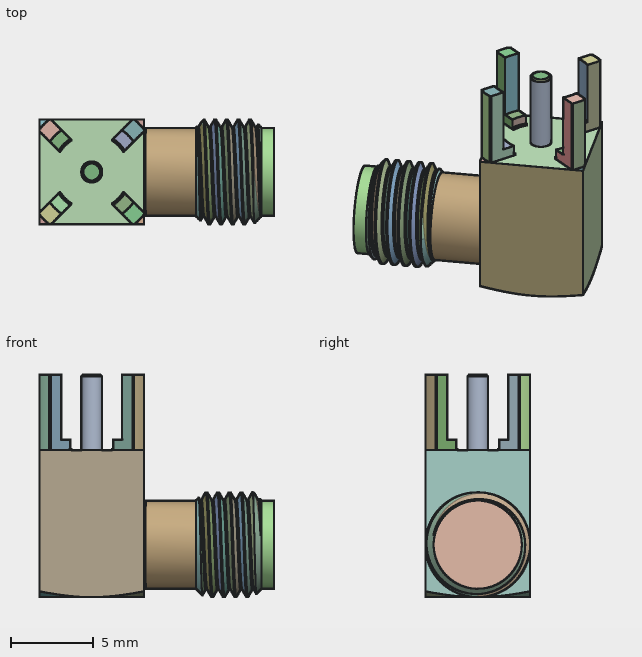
import cadquery as cq
import math


BODY_SIDE = 6.35
HALF_SIDE = BODY_SIDE / 2
BODY_TOP = 5.715
CORNER_CHAMFER_ANGLE = 15

PIN_LENGTH = 4.57
PIN_TOP = BODY_TOP + PIN_LENGTH
CENTRE_PIN_DIAMETER = 1.27
CENTRE_PIN_CHAMFER = 0.12

LEG_COUNT = 4
LEG_WIDTH = 1.0
LEG_OUTER_RADIUS = 4.085
LEG_INNER_RADIUS = 3.13
FOOT_INNER_RADIUS = 2.375
FOOT_HEIGHT = 0.65
TOE_INNER_RADIUS = 2.275
TOE_HEIGHT = 0.09

BARREL_RADIUS = 2.67
BARREL_END = 11.045
NECK_RADIUS = 2.36
NECK_LENGTH = 0.08

THREAD_RADIUS = 3.175
THREAD_PITCH = 25.4 / 36
THREAD_DEPTH = 0.433
THREAD_START = 6.3
THREAD_END = 10.28
CREST_FLAT = THREAD_PITCH / 8
CREST_ABOVE_AXIS = 6.94
FLANK_ANGLE = 30
CUTTER_OVERSHOOT = 0.03


def make_body():
    """Square block whose bottom corners are trimmed by a cone about Z."""
    body_height = HALF_SIDE + BODY_TOP
    block = cq.Workplane("XY").workplane(offset=-HALF_SIDE).rect(BODY_SIDE, BODY_SIDE).extrude(body_height)
    cone_reach = BODY_SIDE
    cone_rise = (cone_reach - HALF_SIDE) * math.tan(math.radians(CORNER_CHAMFER_ANGLE))
    envelope = (
        cq.Workplane("XZ")
        .moveTo(0, -HALF_SIDE)
        .lineTo(HALF_SIDE, -HALF_SIDE)
        .lineTo(cone_reach, -HALF_SIDE + cone_rise)
        .lineTo(cone_reach, BODY_TOP)
        .lineTo(0, BODY_TOP)
        .close()
        .revolve(360, (0, 0, 0), (0, 1, 0))
    )
    return block.intersect(envelope)


def make_centre_pin():
    """Round pin on the Z axis with a chamfered tip."""
    pin = cq.Workplane("XY").workplane(offset=BODY_TOP).circle(CENTRE_PIN_DIAMETER / 2).extrude(PIN_LENGTH)
    return pin.faces(">Z").chamfer(CENTRE_PIN_CHAMFER)


def make_leg(angle):
    """L-shaped ground leg: a revolved profile cut down to a radial strip."""
    ring = (
        cq.Workplane("XZ")
        .moveTo(TOE_INNER_RADIUS, BODY_TOP)
        .lineTo(LEG_OUTER_RADIUS, BODY_TOP)
        .lineTo(LEG_OUTER_RADIUS, PIN_TOP)
        .lineTo(LEG_INNER_RADIUS, PIN_TOP)
        .lineTo(LEG_INNER_RADIUS, BODY_TOP + FOOT_HEIGHT)
        .lineTo(FOOT_INNER_RADIUS, BODY_TOP + FOOT_HEIGHT)
        .lineTo(FOOT_INNER_RADIUS, BODY_TOP + TOE_HEIGHT)
        .lineTo(TOE_INNER_RADIUS, BODY_TOP + TOE_HEIGHT)
        .close()
        .revolve(360, (0, 0, 0), (0, 1, 0))
    )
    strip = cq.Workplane("XY").box(BODY_SIDE, LEG_WIDTH, PIN_TOP, centered=(False, True, False))
    column = cq.Workplane("XY").box(BODY_SIDE, BODY_SIDE, PIN_TOP, centered=(True, True, False))
    leg = ring.intersect(strip.rotate((0, 0, 0), (0, 0, 1), angle))
    return leg.intersect(column)


def make_groove_turn():
    """One right-handed turn of the thread groove about Z, centred on +X at Z = 0."""
    root_radius = THREAD_RADIUS - THREAD_DEPTH
    outer_radius = THREAD_RADIUS + CUTTER_OVERSHOOT
    slope = math.tan(math.radians(FLANK_ANGLE))
    half_mouth = (THREAD_PITCH - CREST_FLAT) / 2
    half_root = half_mouth - THREAD_DEPTH * slope
    half_outer = half_mouth + CUTTER_OVERSHOOT * slope
    section = [
        (root_radius, -half_root),
        (outer_radius, -half_outer),
        (outer_radius, half_outer),
        (root_radius, half_root),
    ]

    helices = []
    for radius, height in section:
        helix = cq.Wire.makeHelix(THREAD_PITCH, THREAD_PITCH, radius)
        helices.append(helix.translate(cq.Vector(0, 0, height)))
    faces = []
    for helix, next_helix in zip(helices, helices[1:] + helices[:1]):
        faces.append(cq.Face.makeRuledSurface(helix, next_helix))
    for end_height in (0, THREAD_PITCH):
        corners = [cq.Vector(radius, 0, height + end_height) for radius, height in section]
        faces.append(cq.Face.makeFromWires(cq.Wire.makePolygon(corners, close=True)))
    return cq.Workplane(obj=cq.Solid.makeSolid(cq.Shell.makeShell(faces)))


def make_thread():
    """Chamfered band with the helical groove cut into it turn by turn."""
    band = cq.Workplane("YZ").workplane(offset=THREAD_START).circle(THREAD_RADIUS)
    band = band.extrude(THREAD_END - THREAD_START).edges().chamfer(THREAD_RADIUS - BARREL_RADIUS)
    groove_turn = make_groove_turn().rotate((0, 0, 0), (0, 1, 0), 90)
    turns_before = math.ceil((CREST_ABOVE_AXIS - THREAD_START) / THREAD_PITCH) + 1
    turns_after = math.ceil((THREAD_END - CREST_ABOVE_AXIS) / THREAD_PITCH)
    for turn in range(-turns_before, turns_after + 1):
        band = band.cut(groove_turn.translate((CREST_ABOVE_AXIS + turn * THREAD_PITCH, 0, 0)))
    return band


def make_barrel():
    """Recessed neck, plain barrel and threaded band, all about the X axis."""
    neck_start = HALF_SIDE
    barrel_start = neck_start + NECK_LENGTH
    side = cq.Workplane("YZ")
    neck = side.workplane(offset=neck_start).circle(NECK_RADIUS).extrude(NECK_LENGTH)
    barrel = side.workplane(offset=barrel_start).circle(BARREL_RADIUS).extrude(BARREL_END - barrel_start)
    return neck.union(barrel).union(make_thread())


result = make_body().union(make_centre_pin()).union(make_barrel())
for index in range(LEG_COUNT):
    result = result.union(make_leg((index + 0.5) * 360 / LEG_COUNT))